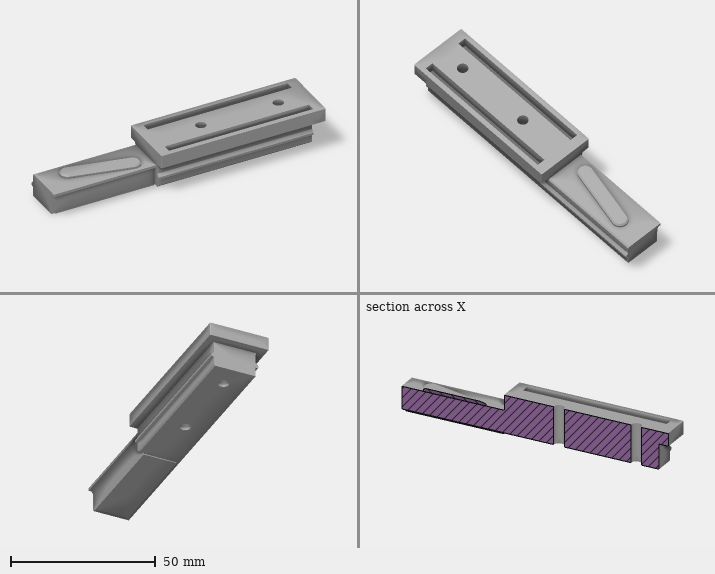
import cadquery as cq

plate_width = 22.4
plate_rear_y = 52.4
plate_front_y = -12.2
plate_top_z = 15.0
plate_bottom_z = 10.0
plate_corner_radius = 0.3

slot_width = 3.1
slot_depth = 4.2
slot_offset_x = 7.8
slot_end_margin = 4.0
hole_diameter = 4.0
hole_rear_y = 39.8
hole_spacing = 30.4

rail_half_width = 8.0
rail_rear_y = 48.8
rail_front_y = -52.4
rail_top_z = 9.2
rail_bottom_z = 0.3
rail_top_chamfer = 0.5
neck_flare = 0.2

ridge_half_width = 9.0
ridge_slope_top_z = 6.0
ridge_edge_bottom_z = 4.1
ridge_root_bottom_z = 3.9

lip_end_x = 7.4
lip_thickness = 1.0
relief_top_x = 5.9
relief_bottom_x = 5.7
relief_fillet = 1.0
relief_bottom_chamfer = 0.5
relief_clearance = 1.0

key_width = 5.9
key_center_distance = 23.4
key_angle = 12.6
key_center_x = 0.5
key_center_y = -30.5
key_top_z = 10.5
key_chamfer = 0.5

pad_left_x = -6.9
pad_front_y = -50.9

plate_length = plate_rear_y - plate_front_y
plate_center_y = (plate_rear_y + plate_front_y) / 2
exposed_length = plate_front_y - rail_front_y
covered_length = rail_rear_y - plate_front_y
ridge_edge_top_z = ridge_slope_top_z - (ridge_half_width - rail_half_width)


def extrude_along_y(outline, front_y, length):
    """Extrude an XZ outline from front_y toward +Y."""
    plane = cq.Workplane("XZ", origin=(0, front_y, 0))
    return plane.polyline(outline).close().extrude(-length)


def make_plate():
    plate = (
        cq.Workplane("XY", origin=(0, plate_center_y, plate_bottom_z))
        .rect(plate_width, plate_length)
        .extrude(plate_top_z - plate_bottom_z)
        .edges("|Z")
        .fillet(plate_corner_radius)
    )
    slots = (
        cq.Workplane("XY", origin=(0, plate_center_y, plate_top_z))
        .pushPoints([(-slot_offset_x, 0), (slot_offset_x, 0)])
        .rect(slot_width, plate_length - 2 * slot_end_margin)
        .extrude(-slot_depth)
    )
    return plate.cut(slots)


def make_neck():
    """Low foot between plate and rail, flaring slightly outward toward the plate."""
    neck_half_width = rail_half_width + neck_flare
    outline = [
        (-rail_half_width, rail_top_z),
        (rail_half_width, rail_top_z),
        (neck_half_width, plate_bottom_z),
        (-neck_half_width, plate_bottom_z),
    ]
    return extrude_along_y(outline, plate_front_y, covered_length)


def make_rail():
    right_side = [
        (rail_half_width, rail_bottom_z),
        (rail_half_width, ridge_root_bottom_z),
        (ridge_half_width, ridge_edge_bottom_z),
        (ridge_half_width, ridge_edge_top_z),
        (rail_half_width, ridge_slope_top_z),
        (rail_half_width, rail_top_z),
    ]
    left_side = [(-x, z) for x, z in reversed(right_side)]
    return extrude_along_y(right_side + left_side, rail_front_y, rail_rear_y - rail_front_y)


def make_relief():
    """Space removed from the right side of the exposed rail, below the lip."""
    clear_x = ridge_half_width + relief_clearance
    lip_bottom_z = rail_top_z - lip_thickness
    under_lip = extrude_along_y(
        [
            (relief_bottom_x, rail_bottom_z),
            (clear_x, rail_bottom_z),
            (clear_x, lip_bottom_z),
            (relief_top_x, lip_bottom_z),
        ],
        rail_front_y,
        exposed_length,
    )
    under_lip = under_lip.edges("|Y and >Z").edges("<X").fillet(relief_fillet)
    beside_lip = extrude_along_y(
        [
            (lip_end_x, lip_bottom_z),
            (clear_x, lip_bottom_z),
            (clear_x, rail_top_z),
            (lip_end_x, rail_top_z),
        ],
        rail_front_y,
        exposed_length,
    )
    return under_lip.union(beside_lip)


def make_left_chamfer():
    """Triangular strip removed from the top left edge of the exposed rail."""
    outline = [
        (-rail_half_width, rail_top_z),
        (-rail_half_width + rail_top_chamfer, rail_top_z),
        (-rail_half_width, rail_top_z - rail_top_chamfer),
    ]
    return extrude_along_y(outline, rail_front_y, exposed_length)


def make_side_bottom_chamfer():
    """Triangular strip removed from the bottom right edge of the covered rail."""
    outline = [
        (rail_half_width, rail_bottom_z),
        (rail_half_width - relief_bottom_chamfer, rail_bottom_z),
        (rail_half_width, rail_bottom_z + relief_bottom_chamfer),
    ]
    return extrude_along_y(outline, plate_front_y, covered_length)


def make_end_bottom_chamfer():
    """Triangular strip removed from the bottom edge of the wall that ends the relief."""
    return (
        cq.Workplane("YZ", origin=(relief_bottom_x, 0, 0))
        .moveTo(plate_front_y, rail_bottom_z)
        .lineTo(plate_front_y + relief_bottom_chamfer, rail_bottom_z)
        .lineTo(plate_front_y, rail_bottom_z + relief_bottom_chamfer)
        .close()
        .extrude(rail_half_width - relief_bottom_x)
    )


def make_holes():
    return (
        cq.Workplane("XY", origin=(0, 0, rail_bottom_z))
        .pushPoints([(0, hole_rear_y), (0, hole_rear_y - hole_spacing)])
        .circle(hole_diameter / 2)
        .extrude(plate_top_z - rail_bottom_z)
    )


def make_carrier():
    carrier = make_plate().union(make_neck()).union(make_rail())
    cutters = [
        make_relief(),
        make_left_chamfer(),
        make_side_bottom_chamfer(),
        make_end_bottom_chamfer(),
        make_holes(),
    ]
    for cutter in cutters:
        carrier = carrier.cut(cutter)
    return carrier


def make_key():
    return (
        cq.Workplane("XY", origin=(key_center_x, key_center_y, rail_top_z))
        .slot2D(key_center_distance + key_width, key_width, 90 - key_angle)
        .extrude(key_top_z - rail_top_z)
        .faces(">Z")
        .edges()
        .chamfer(key_chamfer)
    )


def make_pad():
    pad_width = relief_bottom_x - pad_left_x
    pad_length = plate_front_y - pad_front_y
    return cq.Workplane("XY", origin=(pad_left_x, pad_front_y, 0)).box(
        pad_width, pad_length, rail_bottom_z, centered=False
    )


carrier = make_carrier()
key = make_key()
pad = make_pad()

result = cq.Compound.makeCompound([carrier.val(), key.val(), pad.val()])